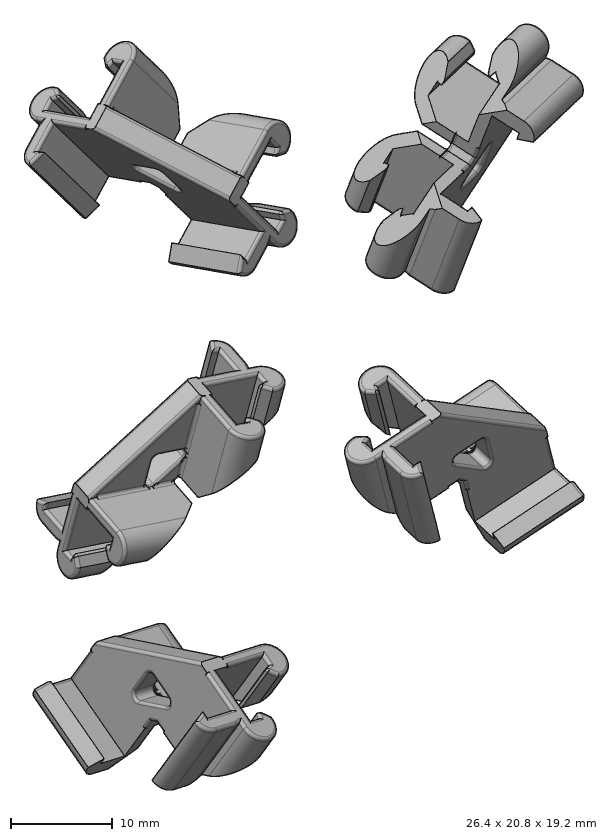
import cadquery as cq
import math


wall = 1.3
opening = 6.37
reach = 10.58
clip_start = 0.58
edge_round = 0.35

lip_radius = 2.0
lip_rise = 0.55
lip_center = wall + opening + lip_rise
barb_root = (-3.9, -7.88)
barb_tip = (-3.12, -7.03)
barb_back = (-2.72, -7.0)
barb_base = -2.45

hook_inner = -5.92
hook_outer = -7.61
neck_height = 0.6
neck_offset = 0.13
catch_height = 3.25
catch_depth = 0.82
hook_height = 4.95
nose_radius = hook_height - catch_height

block_depth = 2.88
notch_cut = 0.55
block_lap = wall

window_side = 3.97
window_slope = 3.07
window_round = 0.6
window_edge_round = 0.3

bed_level = -5.82
trim_size = 79.32
trim_depth = 26.45

tilt_z = 21.2
tilt_y = 16.0
tilt_x = 111.8


def clip_profile():
    """Section of a clip in (p, w): two walls with rounded lips around a square channel."""
    end = -wall - opening
    lip_top = -lip_center - lip_radius
    return (
        cq.Workplane("XZ")
        .moveTo(0, 0)
        .lineTo(0, -lip_center)
        .threePointArc((-lip_radius, lip_top), barb_root)
        .lineTo(*barb_tip)
        .lineTo(*barb_back)
        .lineTo(barb_base, end)
        .lineTo(-wall, end)
        .lineTo(-wall, -wall)
        .lineTo(end, -wall)
        .lineTo(end, barb_base)
        .lineTo(*reversed(barb_back))
        .lineTo(*reversed(barb_tip))
        .lineTo(*reversed(barb_root))
        .threePointArc((lip_top, -lip_radius), (-lip_center, 0))
        .close()
    )


def hook_profile():
    """Section of the front hook in (p, w), its foot sunk into the plate."""
    nose_center = hook_outer + nose_radius
    diagonal = math.sqrt(0.5) * nose_radius
    foot = hook_outer + neck_offset
    return (
        cq.Workplane("XZ")
        .moveTo(hook_inner, -wall / 2)
        .lineTo(hook_inner, catch_height)
        .lineTo(hook_inner + catch_depth, catch_height)
        .lineTo(nose_center, hook_height)
        .threePointArc((nose_center - diagonal, catch_height + diagonal), (hook_outer, catch_height))
        .lineTo(hook_outer, neck_height)
        .lineTo(foot, 0)
        .lineTo(foot, -wall / 2)
        .close()
    )


def clip():
    """Clip with a rounded flat end at q = reach, running along q from its inner end."""
    length = reach - clip_start
    body = clip_profile().extrude(-length).union(hook_profile().extrude(-length))
    return body.faces(">Y").edges().fillet(edge_round).translate((0, clip_start, 0))


def swap(body):
    """Mirror image with p and q exchanged."""
    return body.mirror("YZ").rotate((0, 0, 0), (0, 0, 1), -90)


def prism(points, depth):
    """Straight-sided solid running back from the plate's front face."""
    return cq.Workplane("XY").polyline(points).close().extrude(-depth)


def block_prism():
    """Plain corner block, lapping onto both clips so that its corners stay full."""
    notch_end = notch_cut - clip_start
    outline = [
        (-block_lap, clip_start),
        (-block_lap, reach),
        (0, reach),
        (reach, 0),
        (reach, -block_lap),
        (clip_start, -block_lap),
        (clip_start, notch_end),
        (notch_end, clip_start),
    ]
    return prism(outline, block_depth)


def window():
    """Three-cornered opening with rounded corners, through the corner block."""
    far = window_slope - window_side
    body = prism([(window_side, window_side), (far, window_side), (window_side, far)], block_depth)
    return body.edges("|Z").fillet(window_round)


def corner_block():
    """Corner block with a rounded sloping rim and a window with rounded edges."""
    body = block_prism().faces(">(1,1,0)").edges("not |Z").fillet(edge_round).cut(window())
    low = -0.8
    high = window_side + 0.26
    around_window = cq.selectors.BoxSelector((low, low, 0.26), (high, high, -block_depth - 0.26))
    return body.edges(around_window).edges("not |Z").fillet(window_edge_round)


def root_fillet():
    """Concave rounding between a clip arm and the back of the corner block."""
    length = reach - clip_start - 2.5 * edge_round
    return (
        cq.Workplane("XZ")
        .moveTo(-edge_round, -block_depth + edge_round)
        .lineTo(edge_round, -block_depth + edge_round)
        .lineTo(edge_round, -block_depth)
        .radiusArc((0, -block_depth - edge_round), -edge_round)
        .lineTo(-edge_round, -block_depth - edge_round)
        .close()
        .extrude(-length)
        .translate((0, clip_start, 0))
    )


def bed_trim():
    """Everything on the lower side of the flat cut."""
    level = bed_level / 2
    plane = cq.Plane(origin=(level, level, 0), xDir=(1, -1, 0), normal=(1, 1, 1))
    return cq.Workplane(plane).rect(trim_size, trim_size).extrude(-trim_depth)


left_clip = clip()
clips = left_clip.union(swap(left_clip)).cut(block_prism())

root = root_fillet()
window_path = window().translate((0, 0, -edge_round))
roots = root.union(swap(root)).cut(block_prism()).cut(window_path)

body = clips.union(corner_block()).union(roots).cut(bed_trim())

result = (
    body.rotate((0, 0, 0), (0, 0, 1), tilt_z)
    .rotate((0, 0, 0), (0, 1, 0), tilt_y)
    .rotate((0, 0, 0), (1, 0, 0), tilt_x)
)